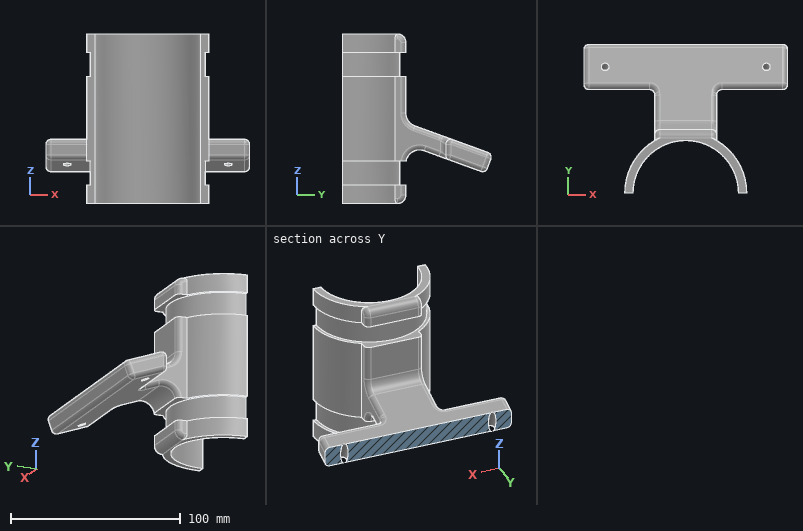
import cadquery as cq
import math

height = 100.0
bore_radius = 31.0
shell_radius = 36.0

groove_floor_radius = 34.0
groove_width = 14.0
groove_end_margin = 11.0
groove_cut_radius = 43.0

pad_width = 36.6
pad_back = 37.5
pad_corner_radius = 5.0

arm_slope = math.radians(20)
arm_thickness = 12.0
arm_underside_start = 35.0
arm_underside_length = 50.0
arm_root_radius = 8.0

bar_length = 120.0
bar_underside_depth = 25.0
bar_inner_radius = 3.0
edge_radius = 3.0

hole_diameter = 4.5
hole_spacing = 95.0
hole_to_bar_end = 15.0

along_y = math.cos(arm_slope)
along_z = -math.sin(arm_slope)
normal = cq.Vector(0, -along_z, along_y)

underside_root = cq.Vector(0, pad_back, arm_underside_start)
underside_end = underside_root + cq.Vector(0, along_y, along_z) * arm_underside_length
top_end = underside_end + normal * arm_thickness
top_root = underside_root + cq.Vector(0, 0, arm_thickness / along_y)
bar_front = underside_end.y - bar_underside_depth * along_y


def half_cylinder(radius, length):
    """Solid half cylinder on the +Y side of the Z axis."""
    outline = cq.Workplane("XY").moveTo(-radius, 0).threePointArc((0, radius), (radius, 0)).close()
    return outline.extrude(length)


def fillet_nearest(body, point, radius):
    """Round the one edge of the body whose middle is nearest the point."""
    return body.edges(cq.selectors.NearestToPointSelector(point)).fillet(radius)


def make_flat_backed_shell():
    """Outer half cylinder, flat at the back where the pad corner rounding runs out onto its ends."""
    flat_back = pad_back - pad_corner_radius
    keep = cq.Workplane("XY").center(0, flat_back / 2).rect(2 * shell_radius, flat_back).extrude(height)
    return half_cylinder(shell_radius, height).intersect(keep)


def make_side_profile_block():
    """Pad and arm outline, extruded to the full length of the crossbar."""
    corners = [
        (0, 0),
        (pad_back, 0),
        (underside_root.y, underside_root.z),
        (underside_end.y, underside_end.z),
        (top_end.y, top_end.z),
        (top_root.y, top_root.z),
        (pad_back, height),
        (0, height),
    ]
    block = cq.Workplane("YZ").polyline(corners).close().extrude(bar_length / 2, both=True)
    for root in (underside_root, top_root):
        block = fillet_nearest(block, root.toTuple(), arm_root_radius)
    for corner_z in (0, height):
        block = fillet_nearest(block, (0, pad_back, corner_z), pad_corner_radius)
    return block


def narrow_to_pad_width(block):
    """Remove the material in front of the crossbar on both sides of the arm."""
    waste_width = (bar_length - pad_width) / 2
    for side in (-1, 1):
        waste = (
            cq.Workplane("XY")
            .center(side * (pad_width + waste_width) / 2, bar_front / 2)
            .rect(waste_width, bar_front)
            .extrude(height)
        )
        inner_corner = (side * pad_width / 2, bar_front, height / 2)
        block = block.cut(fillet_nearest(waste, inner_corner, bar_inner_radius))
    return block


def is_sharp_outside_edge(edge):
    """True for the outline edges of pad, arm and bar, false for seams and the hidden front face."""
    margin = 0.5
    middle = edge.Center()
    box = edge.BoundingBox()
    on_front_plane = middle.y < margin
    across_pad_or_arm = abs(middle.x) < margin and middle.y < bar_front
    upright = box.xlen + box.ylen < margin
    on_bar_end = abs(middle.x) > bar_length / 2 - margin
    inner_radius_seam = upright and middle.y > pad_back + margin and not on_bar_end
    return not (on_front_plane or across_pad_or_arm or inner_radius_seam)


def make_bracket():
    """Pad, arm and crossbar in one piece, with the outside edges rounded."""
    bracket = narrow_to_pad_width(make_side_profile_block())
    sharp_edges = [edge for edge in bracket.edges().vals() if is_sharp_outside_edge(edge)]
    return bracket.newObject(sharp_edges).fillet(edge_radius)


def cut_strap_grooves(body):
    """Cut the two strap grooves, through the pad as well as the shell."""
    ring = half_cylinder(groove_cut_radius, groove_width).cut(half_cylinder(groove_floor_radius, groove_width))
    for groove_bottom in (groove_end_margin, height - groove_end_margin - groove_width):
        body = body.cut(ring.translate((0, 0, groove_bottom)))
    return body


def drill_screw_holes(body):
    """Drill the screw holes square to the arm, right through the crossbar."""
    hole_start = underside_end - cq.Vector(0, along_y, along_z) * hole_to_bar_end
    for side in (-1, 1):
        start = hole_start + cq.Vector(side * hole_spacing / 2, 0, 0)
        drill = cq.Solid.makeCylinder(hole_diameter / 2, arm_thickness, start, normal)
        body = body.cut(cq.Workplane(drill))
    return body


saddle = make_flat_backed_shell().union(make_bracket())
saddle = saddle.cut(half_cylinder(bore_radius, height))
result = drill_screw_holes(cut_strap_grooves(saddle))